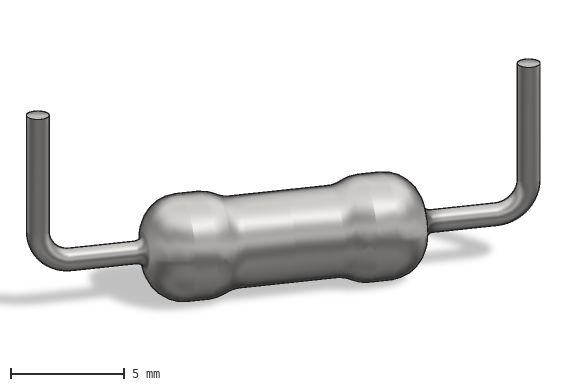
import cadquery as cq
import math

overall_length = 23.5
overall_height = 9.4
cap_radius = 4.8 / 2
waist_radius = 4.1 / 2
wire_radius = 1.0 / 2

waist_half_length = 2.23
shoulder_end = 3.67
dome_start = 4.65
body_half_length = 6.37

neck_fillet = 0.45
bend_radius = 1.5

lead_y = overall_length / 2 - wire_radius
lead_top = overall_height - cap_radius


def make_half_body():
    """Half of the body of revolution, from the middle to the neck on +Y."""
    shoulder_y = (waist_half_length + shoulder_end) / 2
    shoulder_radius = (waist_radius + cap_radius) / 2

    dome_radius = body_half_length - dome_start
    dome_center = cap_radius - dome_radius
    flare_radius = wire_radius + neck_fillet
    dome_end_angle = math.asin((flare_radius - dome_center) / dome_radius)
    dome_end = dome_start + dome_radius * math.cos(dome_end_angle)
    dome_mid_angle = (dome_end_angle + math.pi / 2) / 2
    dome_middle = (
        dome_center + dome_radius * math.sin(dome_mid_angle),
        dome_start + dome_radius * math.cos(dome_mid_angle),
    )

    neck_end = dome_end + neck_fillet
    flare_offset = neck_fillet * (1 - math.sqrt(0.5))
    flare_middle = (wire_radius + flare_offset, dome_end + flare_offset)

    profile = (
        cq.Workplane("XY")
        .lineTo(waist_radius, 0)
        .lineTo(waist_radius, waist_half_length)
        .tangentArcPoint((shoulder_radius, shoulder_y), relative=False)
        .tangentArcPoint((cap_radius, shoulder_end), relative=False)
        .lineTo(cap_radius, dome_start)
        .threePointArc(dome_middle, (flare_radius, dome_end))
        .threePointArc(flare_middle, (wire_radius, neck_end))
        .lineTo(0, neck_end)
        .close()
    )
    return profile.revolve(360, (0, 0, 0), (0, 1, 0))


def make_lead():
    """Wire on +Y, running out along the body axis and bending up to +Z."""
    path = (
        cq.Workplane("YZ")
        .moveTo(dome_start, 0)
        .lineTo(lead_y - bend_radius, 0)
        .tangentArcPoint((lead_y, bend_radius), relative=False)
        .lineTo(lead_y, lead_top)
    )
    section = cq.Workplane("XZ", origin=(0, dome_start, 0)).circle(wire_radius)
    return section.sweep(path)


half = make_half_body().union(make_lead())
result = half.union(half.mirror("XZ"))